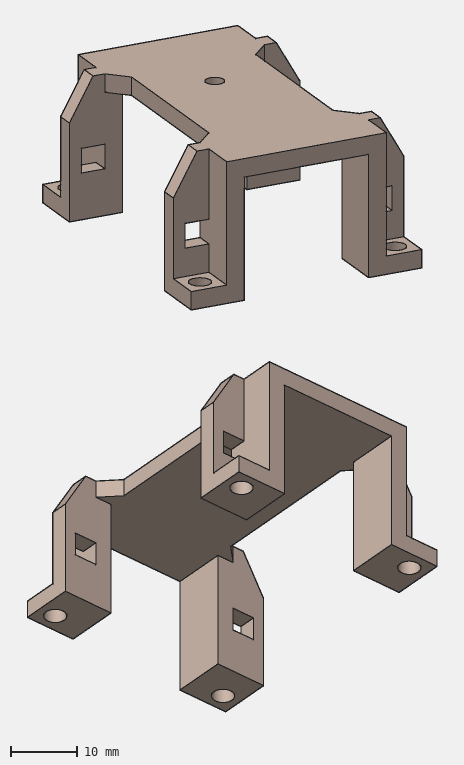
import cadquery as cq
import math

length = 50.0
width = 39.0
height = 23.0

wall = 3.0
foot = 6.0
leg = foot + wall

fin_slope_run = 4.0
fin_slope_angle = 60.0
fin_slope_drop = fin_slope_run * math.tan(math.radians(fin_slope_angle))

window = 4.0
window_bottom = 7.6

screw_diameter = 3.5
plate_hole_diameter = 3.0
plate_hole_x = -5.9

x_outer = -length / 2
y_outer = -width / 2


def box(x, y, z, dx, dy, dz):
    """Box placed by its lowest corner."""
    return cq.Workplane("XY").box(dx, dy, dz, centered=False).translate((x, y, z))


def make_plate():
    """H-shaped top plate with bevelled inner corners and one off-centre hole."""
    x_end = length / 2
    x_fin = x_end - leg
    x_waist = x_fin - wall
    y_end = width / 2 - foot
    y_waist = width / 2 - leg
    quarter = [(x_end, y_end), (x_fin, y_end), (x_waist, y_waist)]
    outline = quarter + [(-x, y) for x, y in reversed(quarter)]
    outline += [(-x, -y) for x, y in outline]
    plate = cq.Workplane("XY").workplane(offset=height - wall).polyline(outline).close().extrude(wall)
    hole = cq.Workplane("XY").center(plate_hole_x, 0).circle(plate_hole_diameter / 2).extrude(height)
    return plate.cut(hole)


def make_leg():
    """Leg at the -X, -Y corner: cross wall, sloped fin with window, and drilled foot."""
    cross_wall = box(x_outer, y_outer + foot, 0, leg, wall, height)
    foot_pad = box(x_outer, y_outer, 0, leg, foot, wall)
    fin = (
        cq.Workplane("YZ", origin=(x_outer + foot, 0, 0))
        .moveTo(y_outer, 0)
        .lineTo(y_outer, height - fin_slope_drop)
        .lineTo(y_outer + fin_slope_run, height)
        .lineTo(y_outer + leg, height)
        .lineTo(y_outer + leg, 0)
        .close()
        .extrude(wall)
    )
    opening = box(x_outer + foot, y_outer + foot - window, window_bottom, wall, window, window)
    screw_hole = (
        cq.Workplane("XY")
        .center(x_outer + foot / 2, y_outer + foot / 2)
        .circle(screw_diameter / 2)
        .extrude(wall)
    )
    return cross_wall.union(foot_pad).union(fin).cut(opening).cut(screw_hole)


leg_pair = make_leg()
leg_pair = leg_pair.union(leg_pair.mirror("YZ"))
result = make_plate().union(leg_pair).union(leg_pair.mirror("XZ"))